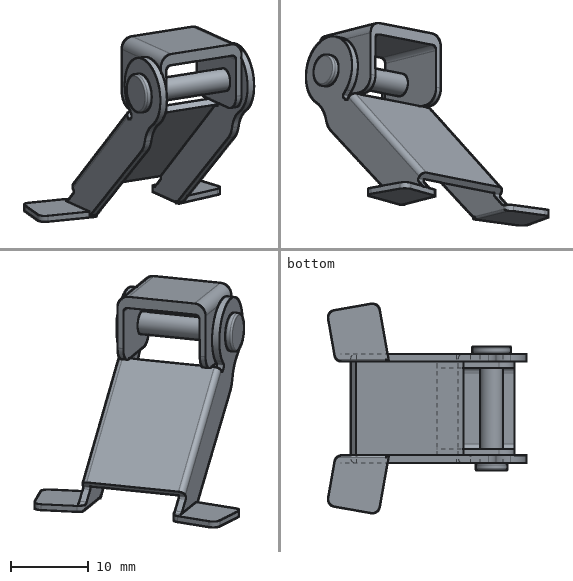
import cadquery as cq
import math


lever_half_width = 7.0
lever_thickness = 1.0
lever_angle = 42.9
plate_top = 0.3
plate_far_end = -24.45
plate_near_end = -5.58
bend_radius = 0.75
ear_radius = 4.5
notch_floor = -1.0
notch_corner_radius = 0.27

lower_edge_angle = 42.1
lower_edge_offset = 5.65
neck_start_angle = -57.5
neck_hollow_radius = 4.25
neck_round_radius = 3.1

foot_bottom = -19.85
foot_thickness = 0.8
foot_splay = 10.0
foot_width = 6.76
foot_tip_y = 13.48
foot_left_x = -21.02
foot_corner_radius = 1.0
heel_radius = 1.0
foot_bend_radius = 0.3
toe_radius = 0.8

channel_left = -6.98
channel_right = 2.96
channel_top = 5.5
channel_bottom = -3.5
channel_roof = 1.5
channel_wall = 0.8
channel_outer_radius = 1.5
channel_inner_radius = 0.65
channel_corner_radius = 2.0
pin_radius = 1.48
front_head_radius = 2.5
back_head_radius = 2.05
head_thickness = 0.97
head_edge_radius = 0.25

lever_inner = lever_half_width - lever_thickness
foot_top = foot_bottom + foot_thickness


def polar(radius, angle, center=(0, 0)):
    """Point at a distance and an angle in degrees from a center."""
    a = math.radians(angle)
    return (center[0] + radius * math.cos(a), center[1] + radius * math.sin(a))


def sloped(along, above, angle=lever_angle):
    """XZ point given along and square to a direction sloping up through the axis."""
    return polar(above, angle + 90, polar(along, angle))


def direction(start, end):
    """Angle in degrees of the line from start to end."""
    return math.degrees(math.atan2(end[1] - start[1], end[0] - start[0]))


def nearest(point, y):
    """Selector for the edge whose middle is closest to an XZ point at a given Y."""
    return cq.selectors.NearestToPointSelector((point[0], y, point[1]))


def ear_outline():
    """Closed XZ outline of one ear, the neck arcs tangent to the eye and to the lower edge."""
    hollow_center = polar(ear_radius + neck_hollow_radius, neck_start_angle)
    hollow_polar = neck_start_angle - lower_edge_angle
    hollow_along, hollow_above = polar(ear_radius + neck_hollow_radius, hollow_polar)
    round_above = neck_round_radius - lower_edge_offset
    radii = neck_hollow_radius + neck_round_radius
    round_along = hollow_along - math.sqrt(radii**2 - (hollow_above - round_above) ** 2)
    round_center = sloped(round_along, round_above, lower_edge_angle)
    joint_angle = direction(round_center, hollow_center)
    round_start = lower_edge_angle - 90
    round_mid = (round_start + joint_angle) / 2
    hollow_mid = (joint_angle + neck_start_angle) / 2 + 180

    slope = math.radians(lever_angle)
    toe_x = (foot_top * math.cos(slope) - notch_floor) / math.sin(slope)
    toe_reach = toe_radius * math.tan(slope / 2)
    toe_center = (toe_x - toe_reach, foot_top + toe_radius)

    lower = math.radians(lower_edge_angle)
    lower_end_x = (foot_bottom * math.cos(lower) + lower_edge_offset) / math.sin(lower)

    return (
        cq.Workplane("XZ")
        .moveTo(lower_end_x, foot_bottom)
        .lineTo(*polar(neck_round_radius, round_start, round_center))
        .threePointArc(
            polar(neck_round_radius, round_mid, round_center),
            polar(neck_round_radius, joint_angle, round_center),
        )
        .threePointArc(
            polar(neck_hollow_radius, hollow_mid, hollow_center),
            polar(ear_radius, neck_start_angle),
        )
        .threePointArc((0, ear_radius), sloped(-ear_radius, 0))
        .lineTo(*sloped(-ear_radius, notch_floor))
        .lineTo(*sloped(plate_near_end, notch_floor))
        .lineTo(*sloped(plate_near_end, plate_top))
        .lineTo(*sloped(plate_far_end, plate_top))
        .lineTo(*sloped(plate_far_end, notch_floor))
        .lineTo(*polar(toe_radius, lever_angle - 90, toe_center))
        .threePointArc(
            polar(toe_radius, lever_angle / 2 - 90, toe_center),
            (toe_center[0], foot_top),
        )
        .lineTo(lower_end_x, foot_top)
        .close()
    )


def make_ear():
    """The ear on the -Y side, with its pin hole and its bend towards the plate."""
    ear = ear_outline().extrude(lever_thickness).translate((0, -lever_inner, 0))
    mid_y = -lever_half_width + lever_thickness / 2
    for along in (-ear_radius, plate_near_end, plate_far_end):
        ear = ear.edges(nearest(sloped(along, notch_floor), mid_y)).fillet(notch_corner_radius)
    plate_middle = sloped((plate_near_end + plate_far_end) / 2, plate_top)
    ear = ear.edges(nearest(plate_middle, -lever_half_width)).fillet(bend_radius)
    hole = cq.Workplane("XZ").circle(pin_radius).extrude(lever_half_width)
    return ear.cut(hole)


def make_foot():
    """The foot on the -Y side: a splayed slab reaching under the ear."""
    splay = math.radians(foot_splay)
    lean = math.tan(splay)
    r = foot_corner_radius

    left_center_x = foot_left_x + r
    right_center_x = left_center_x + (foot_width - 2 * r) * math.cos(splay)
    right_center_y = -foot_tip_y + r
    left_center_y = right_center_y + (foot_width - 2 * r) * math.sin(splay)

    def side_x(center_x, center_y, side, y):
        """X of a splayed side edge at a given Y; side is -1 for left, 1 for right."""
        return center_x + side * r / math.cos(splay) + (y - center_y) * lean

    def corner(center_x, center_y, side):
        """Sharp corner outside a corner round."""
        across = side * r
        return (
            center_x + across * math.cos(splay) - r * math.sin(splay),
            center_y - across * math.sin(splay) - r * math.cos(splay),
        )

    inner_left = (side_x(left_center_x, left_center_y, -1, -lever_inner), -lever_inner)
    inner_right = (side_x(right_center_x, right_center_y, 1, -lever_inner), -lever_inner)
    outer_left = corner(left_center_x, left_center_y, -1)
    outer_right = corner(right_center_x, right_center_y, 1)
    middle_z = foot_bottom + foot_thickness / 2

    def upright(point):
        """Selector for the vertical edge at a corner of the slab."""
        return cq.selectors.NearestToPointSelector((*point, middle_z))

    slab = (
        cq.Workplane("XY", origin=(0, 0, foot_bottom))
        .polyline([inner_left, outer_left, outer_right, inner_right])
        .close()
        .extrude(foot_thickness)
    )
    slab = slab.edges(upright(outer_left)).fillet(foot_corner_radius)
    slab = slab.edges(upright(outer_right)).fillet(foot_corner_radius)
    slab = slab.edges(upright(inner_left)).fillet(heel_radius)

    bend = (
        cq.Workplane("YZ", origin=(foot_left_x, 0, 0))
        .moveTo(-foot_tip_y, foot_bottom)
        .lineTo(-lever_inner, foot_bottom)
        .lineTo(-lever_inner, foot_top)
        .lineTo(-foot_tip_y, foot_top)
        .close()
        .extrude(-foot_left_x)
        .edges("|X and <Z and >Y")
        .fillet(foot_bend_radius)
    )
    return slab.intersect(bend)


def make_lever():
    """Plate, both ears and both feet as one bent sheet."""
    plate_bottom = plate_top - lever_thickness
    plate = (
        cq.Workplane("XZ")
        .polyline(
            [
                sloped(plate_far_end, plate_bottom),
                sloped(plate_near_end, plate_bottom),
                sloped(plate_near_end, plate_top),
                sloped(plate_far_end, plate_top),
            ]
        )
        .close()
        .extrude(lever_inner, both=True)
    )
    side = make_ear().union(make_foot())
    return plate.union(side).union(side.mirror("XZ"))


def make_channel():
    """Downward-open channel between the ears, its lower wall corners rounded."""
    length = channel_right - channel_left
    height = channel_top - channel_bottom
    middle_x = (channel_left + channel_right) / 2
    outer = (
        cq.Workplane("XY", origin=(middle_x, 0, channel_bottom))
        .box(length, 2 * lever_inner, height, centered=(True, True, False))
        .edges("|X and >Z")
        .fillet(channel_outer_radius)
        .edges("|Y and <Z")
        .fillet(channel_corner_radius)
    )
    inner_width = 2 * (lever_inner - channel_wall)
    inside = (
        cq.Workplane("XY", origin=(middle_x, 0, channel_bottom))
        .box(length, inner_width, height - channel_roof, centered=(True, True, False))
        .edges("|X and >Z")
        .fillet(channel_inner_radius)
    )
    return outer.cut(inside)


def make_head(radius, start_y):
    """Pin head with both rims rounded, reaching from start_y towards -Y."""
    head = cq.Workplane("XZ", origin=(0, start_y, 0)).circle(radius).extrude(head_thickness)
    return head.edges().fillet(head_edge_radius)


def make_swivel():
    """Channel with the headed pin fixed in its walls."""
    shaft = (
        cq.Workplane("XZ", origin=(0, lever_half_width, 0))
        .circle(pin_radius)
        .extrude(2 * lever_half_width)
    )
    front_head = make_head(front_head_radius, -lever_half_width)
    back_head = make_head(back_head_radius, lever_half_width + head_thickness)
    return make_channel().union(shaft).union(front_head).union(back_head)


lever = make_lever()
swivel = make_swivel()

result = cq.Compound.makeCompound([lever.solids().val(), swivel.solids().val()])